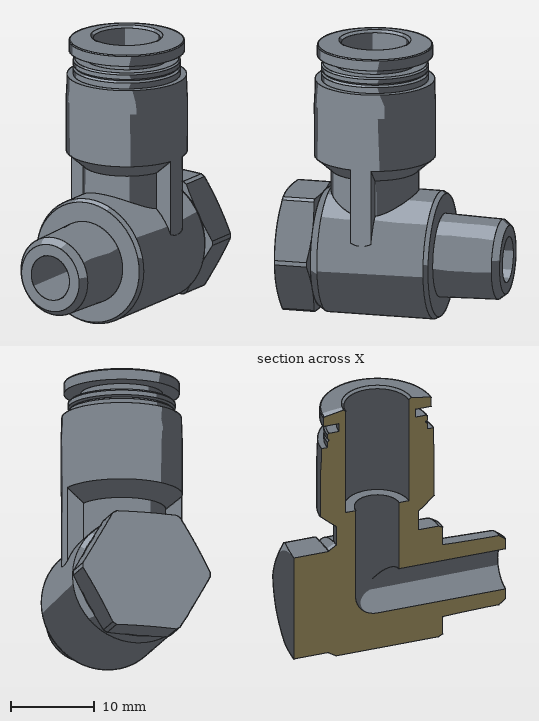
import cadquery as cq
import math


body_radius = 15.4 / 2
body_front = -8.35
body_rear = 6.2
front_bevel_length = 0.55
front_bevel_depth = 0.3
rear_bevel_length = 0.95
rear_bevel_depth = 0.6

thread_end = -16.35
thread_root_radius = 5.02
thread_small_radius = 4.8
thread_tip_radius = 4.15
thread_tip_length = 0.85

hex_rear = 10.65
hex_across_flats = 14.05
hex_corner_radius = 15.9 / 2
hex_bevel_length = 0.27

neck_radius = 5.25
cone_bottom = 10.2
housing_bottom = 11.95
housing_radius = 14.5 / 2
taper_bottom = 18.45
housing_top = 21.42
housing_top_radius = 7.15
rib_width = 2.5

collar_radius = 12.8 / 2
collar_groove_height = 22.37
collar_groove_radius = 6.17
collar_top = 23.35
collar_edge = 0.2
button_neck_radius = 9.8 / 2
button_radius = 13.8 / 2
button_bottom = 24.37
button_rim = 25.6
button_shoulder = 25.73
button_shoulder_radius = 6.78
button_top = 26.2

flow_radius = 5.5 / 2
tube_radius = 8.0 / 2
tube_mouth_radius = 4.3
tube_mouth_depth = 0.3
tube_bottom = housing_bottom


def revolve_about_z(points):
    """Solid of revolution from (radius, z) points starting and ending on the axis."""
    return cq.Workplane("XZ").polyline(points).close().revolve(360, (0, 0), (0, 1))


def revolve_about_y(points):
    """Solid of revolution from (radius, y) points starting and ending on the axis."""
    return cq.Workplane("XY").polyline(points).close().revolve(360, (0, 0), (0, 1))


def make_body_and_thread():
    return revolve_about_y([
        (0, thread_end),
        (thread_tip_radius, thread_end),
        (thread_small_radius, thread_end + thread_tip_length),
        (thread_root_radius, body_front),
        (body_radius - front_bevel_depth, body_front),
        (body_radius, body_front + front_bevel_length),
        (body_radius, body_rear - rear_bevel_length),
        (body_radius - rear_bevel_depth, body_rear),
        (0, body_rear),
    ])


def make_hex_head():
    hex_prism = (
        cq.Workplane("XZ", origin=(0, hex_rear, 0))
        .polygon(6, hex_across_flats / math.cos(math.pi / 6))
        .extrude(hex_rear - body_rear)
    )
    bevel_radius = hex_across_flats / 2
    corner_trim = revolve_about_y([
        (0, body_rear),
        (bevel_radius, body_rear),
        (hex_corner_radius, body_rear + hex_bevel_length),
        (hex_corner_radius, hex_rear - hex_bevel_length),
        (bevel_radius, hex_rear),
        (0, hex_rear),
    ])
    return hex_prism.intersect(corner_trim)


def make_housing():
    return revolve_about_z([
        (0, 0),
        (neck_radius, 0),
        (neck_radius, cone_bottom),
        (housing_radius, housing_bottom),
        (housing_radius, taper_bottom),
        (housing_top_radius, housing_top),
        (0, housing_top),
    ])


def make_ribs():
    """Two side ribs whose outer faces continue the housing cylinder."""
    rib_plate = cq.Workplane("XY").box(
        2 * housing_radius, rib_width, housing_bottom, centered=(True, True, False)
    )
    housing_envelope = cq.Workplane("XY").circle(housing_radius).extrude(housing_bottom)
    return rib_plate.intersect(housing_envelope)


def make_collar():
    groove_depth = collar_radius - collar_groove_radius
    return revolve_about_z([
        (0, housing_top),
        (collar_radius, housing_top),
        (collar_radius, collar_groove_height - groove_depth),
        (collar_groove_radius, collar_groove_height),
        (collar_radius, collar_groove_height + groove_depth),
        (collar_radius, collar_top - collar_edge),
        (collar_radius - collar_edge, collar_top),
        (0, collar_top),
    ])


def make_button():
    return revolve_about_z([
        (0, collar_top),
        (button_neck_radius, collar_top),
        (button_neck_radius, button_bottom),
        (button_radius, button_bottom),
        (button_radius, button_rim),
        (button_shoulder_radius, button_shoulder),
        (tube_mouth_radius, button_top),
        (0, button_top),
    ])


def make_flow_passage():
    """Two equal bores meeting in a spherical elbow."""
    thread_bore = cq.Workplane("XZ").circle(flow_radius).extrude(-thread_end)
    riser_bore = cq.Workplane("XY").circle(flow_radius).extrude(tube_bottom)
    elbow = cq.Workplane("XY").sphere(flow_radius)
    return thread_bore.union(riser_bore).union(elbow)


def make_tube_socket():
    return revolve_about_z([
        (0, tube_bottom),
        (tube_radius, tube_bottom),
        (tube_radius, button_top - tube_mouth_depth),
        (tube_mouth_radius, button_top),
        (0, button_top),
    ])


result = (
    make_body_and_thread()
    .union(make_hex_head())
    .union(make_housing())
    .union(make_ribs())
    .union(make_collar())
    .union(make_button())
    .cut(make_flow_passage())
    .cut(make_tube_socket())
)